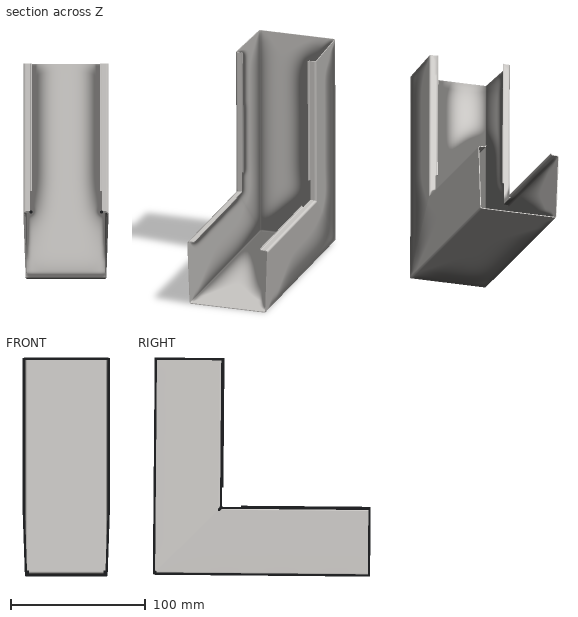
import cadquery as cq
import math

leg_length = 160.0
leg_depth = 49.5
opening_half_width = 31.72
wall_draft = 2.0
tilt = 0.5
sheet = 0.6
lip_radius = 1.75
base_radius = 1.5
elbow_radius = 1.6
lip_width = 4.8
hook_radius = 0.9
hook_start = 65.2

base_half_width = opening_half_width - leg_depth * math.tan(math.radians(wall_draft))
lip_edge = opening_half_width - lip_width


def along_y(profile, start, end):
    """Extrude a profile drawn in (X, depth) along +Y, with depth along +Z."""
    return profile.extrude(-(end - start)).translate((0, start, 0))


def trapezoid(depth_from, depth_to, inset):
    """Channel section between two depths, its sides moved in by the inset."""
    slope = math.tan(math.radians(wall_draft))
    side_inset = inset / math.cos(math.radians(wall_draft))
    low = base_half_width + slope * depth_from - side_inset
    high = base_half_width + slope * depth_to - side_inset
    return cq.Workplane("XZ").polyline(
        [(-low, depth_from), (low, depth_from), (high, depth_to), (-high, depth_to)]
    ).close()


def round_bends(body, low_radius, high_radius):
    """Round the lengthwise edges at the base and at the lips."""
    body = body.faces("<Z").edges("|Y").fillet(low_radius)
    return body.faces(">Z").edges("|Y").fillet(high_radius)


def channel(length):
    """C-channel running along +Y: base below, lips on top."""
    outside = along_y(trapezoid(0, leg_depth, 0), 0, length)
    outside = round_bends(outside, base_radius, lip_radius)
    inside = along_y(trapezoid(sheet, leg_depth - sheet, sheet), 0, length)
    inside = round_bends(inside, base_radius - sheet, lip_radius - sheet)
    opening = cq.Workplane("XY").box(
        2 * lip_edge, length, leg_depth, centered=(True, False, False)
    ).translate((0, 0, leg_depth / 2))
    return outside.cut(inside).cut(opening)


def hook(side):
    """Raised hook along the free edge of one lip; side is +1 or -1."""
    centre_depth = leg_depth + hook_radius
    outer_bend = hook_radius + sheet
    diagonal = math.sqrt(0.5)

    def bend_point(radius, across, down):
        return (side * (lip_edge - across * radius), centre_depth - down * radius)

    profile = (
        cq.Workplane("XZ")
        .moveTo(*bend_point(hook_radius, 0, 1))
        .threePointArc(bend_point(hook_radius, diagonal, diagonal), bend_point(hook_radius, 1, 0))
        .lineTo(*bend_point(outer_bend, 1, 0))
        .threePointArc(bend_point(outer_bend, diagonal, diagonal), bend_point(outer_bend, 0, 1))
        .close()
    )
    return along_y(profile, hook_start, leg_length)


def mitred_leg():
    """Leg along +Y, cut at 45 degrees through the outer corner."""
    leg = channel(leg_length)
    keep = (
        cq.Workplane("YZ")
        .polyline([(0, 0), (leg_length, 0), (leg_length, leg_length)])
        .close()
        .extrude(leg_length, both=True)
    )
    leg = leg.intersect(keep)
    for side in (-1, 1):
        leg = leg.union(hook(side))
    return leg


def round_elbow_edge(elbow):
    """Round the outside and inside edges where the two bases meet."""
    bead_half_length = base_half_width - base_radius
    bead = cq.Workplane("XY").box(
        2 * bead_half_length, elbow_radius, elbow_radius, centered=(True, False, False)
    )
    bore = (
        cq.Workplane("YZ")
        .center(elbow_radius, elbow_radius)
        .circle(elbow_radius - sheet)
        .extrude(bead_half_length, both=True)
    )
    envelope = cq.Workplane("XY").box(
        2 * opening_half_width, leg_length, leg_length, centered=(True, False, False)
    )
    envelope = envelope.edges("<Y and <Z").fillet(elbow_radius)
    return elbow.union(bead.cut(bore)).intersect(envelope)


leg_y = mitred_leg()
leg_z = leg_y.mirror("XY").rotate((0, 0, 0), (1, 0, 0), 90)
elbow = leg_y.union(leg_z)
elbow = round_elbow_edge(elbow)
result = elbow.rotate((0, 0, 0), (1, 0, 0), -tilt)